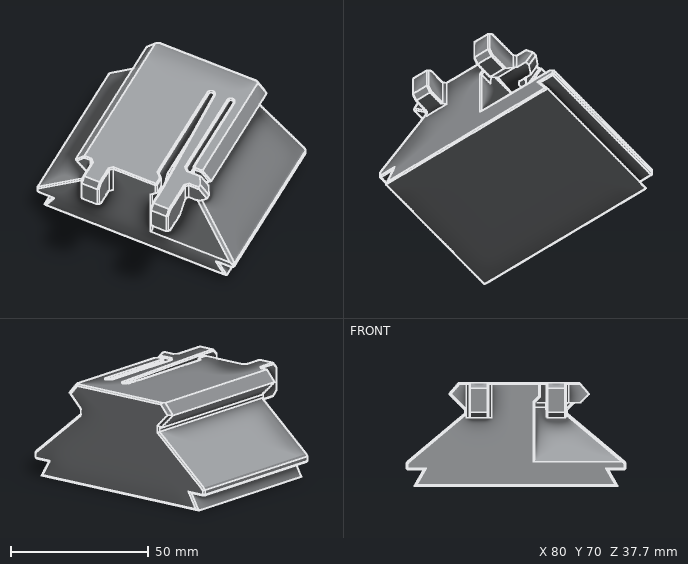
import cadquery as cq
import math

LENGTH = 60.0
HEIGHT = 37.74
EDGE = 0.6
FOOT_HALF = 37.1
NOTCH_Z = 6.0
NOTCH_HALF = FOOT_HALF - NOTCH_Z * math.tan(math.radians(30))
FLANGE_HALF = 40.0
FLANGE_TOP_Z = 9.1
FLANGE_TOP_EDGE = 0.8
NECK_HALF = 18.6
NECK_Z = 26.55
HEAD_ROOT_Z = 27.8
TIP_HALF = 24.4
TIP_Z = HEAD_ROOT_Z + TIP_HALF - NECK_HALF
TOP_HALF = 20.8
HEAD_BACK_EDGE = 1.2

POCKET_X = 6.8
POCKET_FRONT_Z = 9.0
POCKET_DEPTH = 12.9
FLOOR_Z = 28.7
RIM_FLOOR_EDGE = 0.7
RIM_FLANK_EDGE = 1.1

SLOT_WIDTH = 2.0
SLOT_END_Y = 47.7
SLOT_RADIUS = SLOT_WIDTH / 2
SLOT_ARC_Y = SLOT_END_Y - SLOT_RADIUS
RIGHT_SLOT_X = 14.8
SLOT_OUTER_X = RIGHT_SLOT_X + SLOT_WIDTH
SLOT_MOUTH = 1.0
FINE_EDGE = 0.5

TAB_WIDTH = 7.2
TAB_LENGTH = 10.0
TAB_BOTTOM_Z = 24.9
TAB_TIP_CHAMFER = 2.0
TAB_ROOT = 1.0
FIXED_TAB_X = -17.1
ARM_TAB_X = 11.05

ARM_BOTTOM_Z = 30.35
LATCH_FRONT_Y = 5.4
LATCH_FLAT_Y = 7.2
LATCH_BACK_Y = 11.15
LATCH_THROW = 2.2
RAMP_FRONT_Y = -0.5
LATCH_ROOT = 1.2

NUB_DEPTH = 2.0
NUB_LENGTH = 5.8
NUB_Z = 30.6

TOLERANCE = 0.01


def near(value, target):
    return abs(value - target) < TOLERANCE


def prism_y(points, front, back):
    """Extrude an XZ outline from y = front to y = back."""
    return cq.Workplane("XZ", origin=(0, front, 0)).polyline(points).close().extrude(front - back)


def prism_z(points, bottom):
    """Extrude an XY outline from z = bottom up to the top face."""
    return cq.Workplane("XY", origin=(0, 0, bottom)).polyline(points).close().extrude(HEIGHT - bottom)


def make_body():
    right = [
        (FOOT_HALF, 0),
        (NOTCH_HALF, NOTCH_Z),
        (FLANGE_HALF - EDGE, NOTCH_Z),
        (FLANGE_HALF, NOTCH_Z + EDGE),
        (FLANGE_HALF, FLANGE_TOP_Z - FLANGE_TOP_EDGE),
        (FLANGE_HALF - EDGE, FLANGE_TOP_Z),
        (NECK_HALF, NECK_Z),
        (NECK_HALF, HEAD_ROOT_Z),
        (TIP_HALF, TIP_Z),
        (TOP_HALF, HEIGHT),
    ]
    left = [(-x, z) for x, z in reversed(right)]
    return prism_y(right + left, 0, LENGTH)


def make_pocket():
    side = [
        (0, POCKET_FRONT_Z),
        (POCKET_DEPTH, FLOOR_Z),
        (POCKET_DEPTH, HEIGHT),
        (0, HEIGHT),
    ]
    front = cq.Workplane("YZ", origin=(POCKET_X, 0, 0)).polyline(side).close().extrude(FLANGE_HALF)
    wall = [
        (POCKET_X, 0),
        (SLOT_OUTER_X + SLOT_MOUTH, 0),
        (SLOT_OUTER_X + SLOT_MOUTH, POCKET_DEPTH),
        (SLOT_OUTER_X, POCKET_DEPTH + SLOT_MOUTH),
        (SLOT_OUTER_X, SLOT_END_Y),
        (POCKET_X, SLOT_END_Y),
    ]
    rear = prism_z(wall, FLOOR_Z).edges("|Z and >Y").fillet(SLOT_RADIUS)
    rear = rear.cut(front)
    return front.union(rear)


def make_nub():
    plan = [
        (POCKET_X, 0),
        (POCKET_X + NUB_DEPTH, 0),
        (POCKET_X + NUB_DEPTH, NUB_LENGTH - NUB_DEPTH),
        (POCKET_X, NUB_LENGTH),
    ]
    front = [
        (POCKET_X, NUB_Z),
        (POCKET_X + NUB_DEPTH, NUB_Z + NUB_DEPTH),
        (POCKET_X + NUB_DEPTH, HEIGHT),
        (POCKET_X, HEIGHT),
    ]
    return prism_z(plan, NUB_Z).intersect(prism_y(front, 0, NUB_LENGTH))


def finger_side(root_outline):
    """Side profile of a finger: bevelled tip corners, closed by the given root points."""
    tip = [
        (TAB_TIP_CHAMFER - TAB_LENGTH, HEIGHT),
        (-TAB_LENGTH, HEIGHT - TAB_TIP_CHAMFER),
        (-TAB_LENGTH, TAB_BOTTOM_Z + TAB_TIP_CHAMFER),
        (TAB_TIP_CHAMFER - TAB_LENGTH, TAB_BOTTOM_Z),
    ]
    outline = tip + root_outline
    start = cq.Workplane("YZ", origin=(-FLANGE_HALF, 0, 0))
    return start.polyline(outline).close().extrude(2 * FLANGE_HALF)


def make_fixed_tab():
    x_right = FIXED_TAB_X + TAB_WIDTH
    plan = [
        (FIXED_TAB_X - TAB_ROOT, 0),
        (FIXED_TAB_X, -TAB_ROOT),
        (FIXED_TAB_X, -TAB_LENGTH),
        (x_right, -TAB_LENGTH),
        (x_right, -TAB_ROOT),
        (x_right + TAB_ROOT, 0),
    ]
    side = finger_side([(0, TAB_BOTTOM_Z), (0, HEIGHT)])
    return prism_z(plan, TAB_BOTTOM_Z).intersect(side)


def make_latch():
    """Hooked end: the head outline pushed outward, ramping back to flush at the rear."""
    def outline(throw):
        return [
            (ARM_TAB_X + TAB_WIDTH, ARM_BOTTOM_Z),
            (TIP_HALF - TIP_Z + ARM_BOTTOM_Z + throw, ARM_BOTTOM_Z),
            (TIP_HALF + throw, TIP_Z),
            (TOP_HALF + throw, HEIGHT),
            (ARM_TAB_X + TAB_WIDTH, HEIGHT),
        ]

    flat = prism_y(outline(LATCH_THROW), LATCH_FRONT_Y, LATCH_FLAT_Y)
    ramp = (
        cq.Workplane("XZ", origin=(0, LATCH_FLAT_Y, 0))
        .polyline(outline(LATCH_THROW)).close()
        .workplane(offset=LATCH_FLAT_Y - LATCH_BACK_Y)
        .polyline(outline(0)).close()
        .loft(ruled=True)
    )
    return flat.union(ramp)


def make_arm():
    """Tapered spring arm with its finger tab; a 45 degree ramp joins their undersides."""
    tab_right = ARM_TAB_X + TAB_WIDTH
    left_arc_x = POCKET_X + SLOT_RADIUS
    right_arc_x = RIGHT_SLOT_X + SLOT_RADIUS
    mid = SLOT_RADIUS * math.sqrt(0.5)
    plan = (
        cq.Workplane("XY", origin=(0, 0, TAB_BOTTOM_Z))
        .moveTo(left_arc_x, SLOT_END_Y)
        .threePointArc((left_arc_x + mid, SLOT_ARC_Y + mid), (POCKET_X + SLOT_WIDTH, SLOT_ARC_Y))
        .lineTo(ARM_TAB_X, 0)
        .lineTo(ARM_TAB_X, -TAB_LENGTH)
        .lineTo(tab_right, -TAB_LENGTH)
        .lineTo(tab_right, LATCH_FRONT_Y - TAB_ROOT)
        .lineTo(tab_right + TAB_ROOT, LATCH_FRONT_Y)
        .lineTo(tab_right + TAB_ROOT, LATCH_BACK_Y)
        .lineTo(RIGHT_SLOT_X + LATCH_ROOT, LATCH_BACK_Y)
        .lineTo(RIGHT_SLOT_X, LATCH_BACK_Y + LATCH_ROOT)
        .lineTo(RIGHT_SLOT_X, SLOT_ARC_Y)
        .threePointArc((right_arc_x - mid, SLOT_ARC_Y + mid), (right_arc_x, SLOT_END_Y))
        .close()
        .extrude(HEIGHT - TAB_BOTTOM_Z)
    )
    side = finger_side([
        (RAMP_FRONT_Y, TAB_BOTTOM_Z),
        (RAMP_FRONT_Y + ARM_BOTTOM_Z - TAB_BOTTOM_Z, ARM_BOTTOM_Z),
        (SLOT_END_Y, ARM_BOTTOM_Z),
        (SLOT_END_Y, HEIGHT),
    ])
    return plan.intersect(side).union(make_latch())


def is_sloping(box):
    """True for an edge lying in an XZ plane and tilted within it."""
    flat = near(box.ymin, box.ymax)
    return flat and box.xmax - box.xmin > TOLERANCE and box.zmax - box.zmin > TOLERANCE


def is_rear_head(box):
    """Sloping sides of the head at the rear."""
    return near(box.ymin, LENGTH) and is_sloping(box) and box.zmin > HEAD_ROOT_Z - TOLERANCE


def is_rear_outline(box):
    """Rear edges of the body except the sloping sides of the head."""
    return near(box.ymin, LENGTH) and not is_rear_head(box)


def is_pocket_neck(box):
    """Front edges of the right neck and head sides, left exposed by the pocket."""
    neck = near(box.xmax, NECK_HALF) and near(box.zmax, HEAD_ROOT_Z) and box.ymax < POCKET_DEPTH
    head = is_sloping(box) and near(box.ymin, POCKET_DEPTH)
    return neck or head


def is_front_outline(box):
    """Front edges of the body, except its left neck, the pocket floor and the tab junction."""
    on_front = near(box.ymin, 0) and near(box.ymax, 0)
    tab_left = FIXED_TAB_X - TAB_ROOT
    tab_right = FIXED_TAB_X + TAB_WIDTH + TAB_ROOT
    within_tab = box.xmin > tab_left - TOLERANCE and box.xmax < tab_right + TOLERANCE
    on_tab = within_tab and near(box.zmin, TAB_BOTTOM_Z)
    on_neck = near(box.xmin, -NECK_HALF) and near(box.xmax, -NECK_HALF)
    on_floor = near(box.zmax, POCKET_FRONT_Z) and near(box.zmin, POCKET_FRONT_Z)
    return on_front and not (on_tab or on_neck or on_floor)


def is_top_outline(box):
    """Top edges except the bevel ridges, the outer side of the latch, the tab tips and the rear."""
    on_top = near(box.zmin, HEIGHT)
    ridge = near(box.xmin, box.xmax) and near(abs(box.xmin), TOP_HALF)
    latch = box.xmax > TOP_HALF + TOLERANCE and box.ymax > LATCH_FRONT_Y + TOLERANCE
    tip = near(box.ymax, TAB_TIP_CHAMFER - TAB_LENGTH)
    rear = box.ymin > SLOT_END_Y + TOLERANCE
    return on_top and not (ridge or latch or tip or rear)


def is_tab_side(box):
    """Edges around the flat sides of the tabs, below the top face."""
    along = near(box.xmin, box.xmax) and box.ymax < RAMP_FRONT_Y + TOLERANCE
    forward = box.ymin < -TOLERANCE
    root = near(box.ymin, -TAB_ROOT)
    return along and forward and not root and box.zmin < HEIGHT - TOLERANCE


def is_exposed_edge(box):
    return is_front_outline(box) or is_top_outline(box) or is_tab_side(box)


def chamfer_edges(part, wanted, size):
    picked = [edge for edge in part.val().Edges() if wanted(edge.BoundingBox())]
    return part.newObject(picked).chamfer(size)


def make_rim_wedge():
    """Wedge that bevels the slanted edge between the pocket floor and the right flank."""
    floor_rise = (FLOOR_Z - POCKET_FRONT_Z) / POCKET_DEPTH
    flank_fall = (NECK_Z - FLANGE_TOP_Z) / (FLANGE_HALF - EDGE - NECK_HALF)
    top = cq.Vector(NECK_HALF, (NECK_Z - POCKET_FRONT_Z) / floor_rise, NECK_Z)
    floor_normal = cq.Vector(0, -floor_rise, 1).normalized()
    flank_normal = cq.Vector(flank_fall, 0, 1).normalized()
    down = flank_normal.cross(floor_normal).normalized()
    across_flank = flank_normal.cross(down)
    across_floor = down.cross(floor_normal)
    run = top.y / -down.y + TAB_LENGTH
    corners = [top, top + across_flank * RIM_FLANK_EDGE, top + across_floor * RIM_FLOOR_EDGE]
    section = cq.Face.makeFromWires(cq.Wire.makePolygon(corners, close=True))
    return cq.Workplane(cq.Solid.extrudeLinear(section, down * run))


body = chamfer_edges(make_body(), is_rear_head, HEAD_BACK_EDGE)
body = chamfer_edges(body, is_rear_outline, EDGE)
body = body.cut(make_pocket())
body = chamfer_edges(body, is_pocket_neck, FINE_EDGE)
part = body.union(make_nub()).union(make_fixed_tab()).union(make_arm())
part = chamfer_edges(part, is_exposed_edge, FINE_EDGE)
result = part.cut(make_rim_wedge())